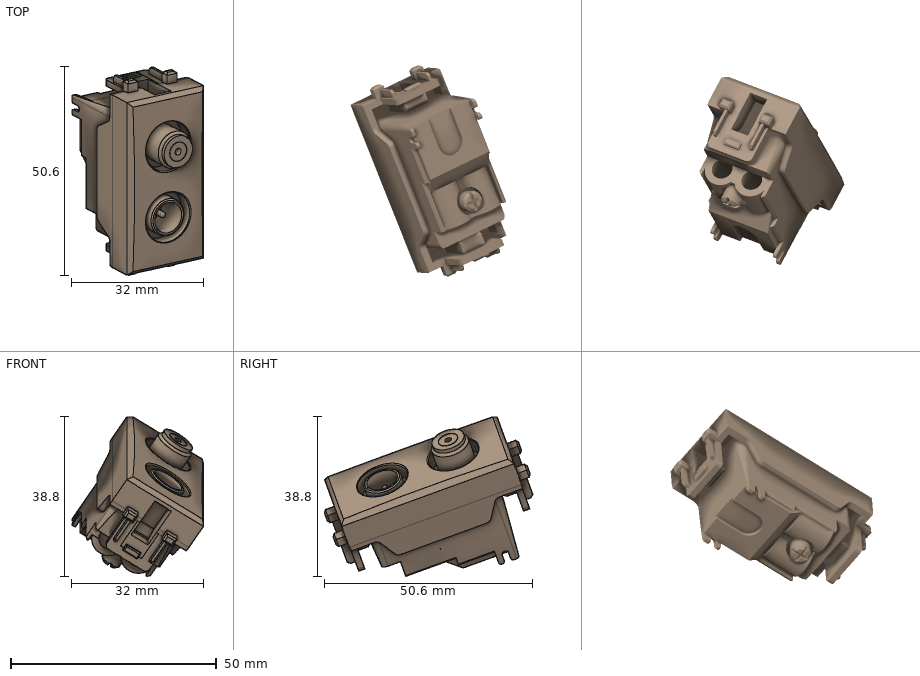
import cadquery as cq
import math


TURN_ABOUT_Y = 33.0
TILT_ABOUT_X = 20.0

COVER_HALF_WIDTH = 11.1
COVER_HALF_LENGTH = 22.3
BEVEL = 1.05
FACE_EDGE_Z = 1.15
FACE_CROWN_Z = 1.45
DRAFT_Z = -6.45
DRAFT_INSET = 0.2
RIM_Z = -7.65
SKIRT_Z = -13.6
SKIRT_TOP_HALF = 15.2
SKIRT_BOTTOM_HALF = 12.0
SKIRT_RADIUS = 1.6

HOUSING_HALF_WIDTH = 9.3
HOUSING_HALF_LENGTH = 17.0
HOUSING_TOP_Z = -2.5
HOUSING_CORNER_RADIUS = 2.0
HOUSING_DRAFT_Z = -9.0
LOW_END_HALF_LENGTH = 15.7
END_WALL_Z = -16.6
CLAMP_END_Y = -11.8
CLAMP_BACK_Y = -1.6
SIDE_WALL_Z = -21.5
SIDE_WALL_BACK_Y = 1.2
REAR_WALL_Z = -23.6
REAR_WALL_BACK_Y = 10.5
TAB_Z = -27.3
TAB_TIP_RADIUS = 0.7
WALL_EDGE_CHAMFER = 0.6
TAB_SLOT_WIDTH = 1.6
TAB_SLOT_Y = 12.8
TAB_SLOT_TOP_Z = -24.0
SIDE_WALL = 0.9
CORE_BOTTOM_Z = -25.1
BELLY_FRONT_Y = 2.0
BELLY_SLOT_RADIUS = 3.3
BELLY_SLOT_END_Y = 5.0
BELLY_SLOT_DEPTH = 1.2

CONNECTOR_Y = 9.2
OPENING_RADIUS = 6.35
OPENING_CHAMFER = 0.3
BARREL_RADIUS = 4.75
F_END_Z = 5.9
F_TIP_RADIUS = 4.1
F_TIP_LENGTH = 1.0
F_TIP_CONE = 0.65
F_INSULATOR_RADIUS = 2.45
F_RECESS = 0.1
F_HOLE_RADIUS = 0.85
F_HOLE_DEPTH = 6.0
TV_END_Z = 1.4
TV_BORE_RADIUS = 3.9
TV_BORE_DEPTH = 9.0
TV_LIP_CHAMFER = 0.35
TV_PIN_RADIUS = 0.75
TV_PIN_TIP_Z = -0.4
TV_PIN_TIP_ROUNDING = 0.9

PANEL_HALF_WIDTH = 6.2
PANEL_THICKNESS = 1.6
PANEL_Z = -17.6
PANEL_CORNER = 1.2
SLOT_HALF_WIDTH = 2.4
SLOT_TOP_Z = -1.0
SLOT_FLOOR_Z = -11.4
BOX_HALF_WIDTH = 3.05
BOX_Z = -13.4
BOX_CHAMFER = 0.9
TONGUE_RELIEF = 0.05
TONGUE_Z = -15.2
RAMP_LENGTH = 1.4
RAMP_LOW_Z = -11.0
RAMP_HIGH_Z = -8.7
HEAD_INNER_X = 4.2
HEAD_OUTER_X = 7.1
HEAD_TOP_Z = -5.6
HEAD_BOTTOM_Z = -7.8
HEAD_REACH = 3.0
HEAD_CHAMFER = 0.5
FIN_INNER_X = 4.8
FIN_OUTER_X = 5.5
FIN_REACH = 1.9
FIN_Z = -14.6
FIN_POINT = 0.7
BUMP_HALF_WIDTH = 2.1
BUMP_TOP_Z = -14.0
BUMP_BOTTOM_Z = -15.7
BUMP_REACH = 0.9
BUMP_CHAMFER = 0.3

CABLE_X = 4.2
CABLE_Z = -18.3
HUMP_RADIUS = 4.35
CABLE_RADIUS = 2.6
CLAMP_TOP_Z = -19.7
CLAMP_PLATE_Z = -20.7
SCREW_Y = -7.5
HEAD_RECESS_RADIUS = 3.4
SCREW_HEAD_RADIUS = 2.5
SCREW_HEAD_Z = -25.0
SCREW_HEAD_CHAMFER = 0.7
SCREW_SHANK_RADIUS = 1.5
SCREW_TIP_Z = -15.0
DRIVE_SLOT_WIDTH = 0.8
DRIVE_SLOT_DEPTH = 0.9


def box(x_range, y_range, z_range):
    """Axis-aligned block between the given limits."""
    size = [high - low for low, high in (x_range, y_range, z_range)]
    low_corner = (x_range[0], y_range[0], z_range[0])
    return cq.Workplane("XY").box(*size, centered=False).translate(low_corner)


def cylinder(radius, x, y, z_low, z_high):
    """Upright cylinder."""
    return cq.Workplane("XY", origin=(x, y, z_low)).circle(radius).extrude(z_high - z_low)


def side_prism(points, half_width):
    """Prism with a (Y, Z) outline, centred across the width."""
    return cq.Workplane("YZ").polyline(points).close().extrude(half_width, both=True)


def cover_shell():
    """Outer form: the side profile with skirts crossed with the bevelled cross profile."""
    length, width = COVER_HALF_LENGTH, COVER_HALF_WIDTH
    side = (
        cq.Workplane("YZ")
        .moveTo(-length, 0)
        .lineTo(-length + BEVEL, FACE_EDGE_Z)
        .threePointArc((0, FACE_CROWN_Z), (length - BEVEL, FACE_EDGE_Z))
        .lineTo(length, 0)
        .lineTo(length, DRAFT_Z)
        .lineTo(length - DRAFT_INSET, RIM_Z)
        .lineTo(SKIRT_TOP_HALF, RIM_Z)
        .lineTo(SKIRT_BOTTOM_HALF, SKIRT_Z)
        .lineTo(-SKIRT_BOTTOM_HALF, SKIRT_Z)
        .lineTo(-SKIRT_TOP_HALF, RIM_Z)
        .lineTo(-length + DRAFT_INSET, RIM_Z)
        .lineTo(-length, DRAFT_Z)
        .close()
        .extrude(width, both=True)
    )
    bend_depth = (RIM_Z - SKIRT_Z) / 2
    bends = cq.selectors.BoxSelector(
        (-2 * width, -length + 3 * DRAFT_INSET, SKIRT_Z - bend_depth),
        (2 * width, length - 3 * DRAFT_INSET, RIM_Z + DRAFT_INSET),
    )
    side = side.edges("|X").edges(bends).fillet(SKIRT_RADIUS)
    crown = FACE_CROWN_Z + BEVEL
    crown_inset = BEVEL * crown / FACE_EDGE_Z
    half = [
        (width - crown_inset, crown),
        (width, 0),
        (width, DRAFT_Z),
        (width - DRAFT_INSET, SKIRT_Z),
    ]
    mirrored = [(-x, z) for x, z in reversed(half)]
    cross = cq.Workplane("XZ").polyline(half + mirrored).close().extrude(length, both=True)
    return side.intersect(cross)


def end_clip():
    """Clip panel of the -Y end with its tongue box, snap heads, fins and bump."""
    outer_y = -COVER_HALF_LENGTH + DRAFT_INSET
    inner_y = outer_y + PANEL_THICKNESS
    clip = box((-PANEL_HALF_WIDTH, PANEL_HALF_WIDTH), (outer_y, inner_y), (PANEL_Z, RIM_Z))
    clip = clip.edges("|Y and <Z").fillet(PANEL_CORNER)

    tongue_box = box(
        (-BOX_HALF_WIDTH, BOX_HALF_WIDTH),
        (inner_y, -HOUSING_HALF_LENGTH),
        (BOX_Z, HOUSING_TOP_Z),
    )
    clip = clip.union(tongue_box.edges("|X and <Z and >Y").chamfer(BOX_CHAMFER))
    clip = clip.union(
        box(
            (-BOX_HALF_WIDTH, BOX_HALF_WIDTH),
            (outer_y - TONGUE_RELIEF, outer_y),
            (TONGUE_Z, RIM_Z),
        )
    )

    bump = box(
        (-BUMP_HALF_WIDTH, BUMP_HALF_WIDTH),
        (outer_y - BUMP_REACH, outer_y),
        (BUMP_BOTTOM_Z, BUMP_TOP_Z),
    )
    clip = clip.union(bump.faces("<Y").edges().chamfer(BUMP_CHAMFER))

    for side in (-1, 1):
        head_x = sorted((side * HEAD_INNER_X, side * HEAD_OUTER_X))
        head = box(head_x, (outer_y - HEAD_REACH, inner_y), (HEAD_BOTTOM_Z, HEAD_TOP_Z))
        clip = clip.union(head.faces("<Y").edges().chamfer(HEAD_CHAMFER))
        fin_x = sorted((side * FIN_INNER_X, side * FIN_OUTER_X))
        fin = box(fin_x, (outer_y - FIN_REACH, inner_y), (FIN_Z, HEAD_BOTTOM_Z))
        clip = clip.union(fin.edges("|X and <Z and <Y").chamfer(FIN_POINT))
    return clip


def end_slot():
    """Latch slot of the -Y end, less the ramp that rises at the back of its floor."""
    back_y = -HOUSING_HALF_LENGTH
    slot = box(
        (-SLOT_HALF_WIDTH, SLOT_HALF_WIDTH),
        (-COVER_HALF_LENGTH - BUMP_REACH, back_y),
        (SLOT_FLOOR_Z, SLOT_TOP_Z),
    )
    ramp = side_prism(
        [
            (back_y, SLOT_FLOOR_Z),
            (back_y, RAMP_HIGH_Z),
            (back_y - RAMP_LENGTH, RAMP_LOW_Z),
            (back_y - RAMP_LENGTH, SLOT_FLOOR_Z),
        ],
        SLOT_HALF_WIDTH,
    )
    return slot.cut(ramp)


def make_cover():
    """Cover with its cavity, two end clips, two latch slots and two connector openings."""
    cover = cover_shell()
    cavity_half_length = COVER_HALF_LENGTH - DRAFT_INSET - PANEL_THICKNESS
    cavity = box(
        (-HOUSING_HALF_WIDTH, HOUSING_HALF_WIDTH),
        (-cavity_half_length, cavity_half_length),
        (SKIRT_Z, HOUSING_TOP_Z),
    )
    cover = cover.cut(cavity)
    clip = end_clip()
    slot = end_slot()
    for turn in (0, 180):
        cover = cover.union(clip.rotate((0, 0, 0), (0, 0, 1), turn))
        cover = cover.cut(slot.rotate((0, 0, 0), (0, 0, 1), turn))
    for y in (-CONNECTOR_Y, CONNECTOR_Y):
        cover = cover.cut(cylinder(OPENING_RADIUS, 0, y, HOUSING_TOP_Z, F_END_Z))
        rim_height = (FACE_EDGE_Z + FACE_CROWN_Z) / 2 + OPENING_CHAMFER / 2
        rim = cq.Solid.makeCone(
            OPENING_RADIUS,
            OPENING_RADIUS + 2 * OPENING_CHAMFER,
            2 * OPENING_CHAMFER,
            pnt=cq.Vector(0, y, rim_height - OPENING_CHAMFER),
        )
        cover = cover.cut(cq.Workplane(rim))
    return cover


def housing_footprint():
    """Full-height block with the housing's rounded vertical corners."""
    block = box(
        (-HOUSING_HALF_WIDTH, HOUSING_HALF_WIDTH),
        (-HOUSING_HALF_LENGTH, HOUSING_HALF_LENGTH),
        (TAB_Z, HOUSING_TOP_Z),
    )
    return block.edges("|Z").fillet(HOUSING_CORNER_RADIUS)


def housing_walls():
    """Housing as outlined by its side walls, still solid between them."""
    end = HOUSING_HALF_LENGTH
    draft_slope = (end - LOW_END_HALF_LENGTH) / (HOUSING_DRAFT_Z - TAB_Z)
    low_front_y = -end + draft_slope * (HOUSING_DRAFT_Z - END_WALL_Z)
    profile = side_prism(
        [
            (-end, HOUSING_TOP_Z),
            (end, HOUSING_TOP_Z),
            (end, HOUSING_DRAFT_Z),
            (LOW_END_HALF_LENGTH, TAB_Z),
            (REAR_WALL_BACK_Y, TAB_Z),
            (REAR_WALL_BACK_Y, REAR_WALL_Z),
            (SIDE_WALL_BACK_Y, REAR_WALL_Z),
            (SIDE_WALL_BACK_Y, SIDE_WALL_Z),
            (CLAMP_END_Y, SIDE_WALL_Z),
            (CLAMP_END_Y, END_WALL_Z),
            (low_front_y, END_WALL_Z),
            (-end, HOUSING_DRAFT_Z),
        ],
        HOUSING_HALF_WIDTH,
    )
    return profile.intersect(housing_footprint())


def housing_belly():
    """Solid belly between the side walls behind the clamp, with its cable slot."""
    back = HOUSING_HALF_LENGTH
    drop = (HOUSING_DRAFT_Z - CLAMP_TOP_Z) / (HOUSING_DRAFT_Z - TAB_Z)
    rear_seat_y = back + (LOW_END_HALF_LENGTH - back) * drop
    belly = side_prism(
        [
            (CLAMP_BACK_Y, CLAMP_TOP_Z),
            (rear_seat_y, CLAMP_TOP_Z),
            (LOW_END_HALF_LENGTH, CORE_BOTTOM_Z),
            (BELLY_FRONT_Y, CORE_BOTTOM_Z),
            (CLAMP_BACK_Y, SIDE_WALL_Z),
        ],
        HOUSING_HALF_WIDTH - SIDE_WALL,
    )
    belly = belly.intersect(housing_footprint())
    slot_z = (CORE_BOTTOM_Z, CORE_BOTTOM_Z + BELLY_SLOT_DEPTH)
    centre_y = BELLY_SLOT_END_Y + BELLY_SLOT_RADIUS
    slot = box((-BELLY_SLOT_RADIUS, BELLY_SLOT_RADIUS), (centre_y, back), slot_z)
    slot = slot.union(cylinder(BELLY_SLOT_RADIUS, 0, centre_y, *slot_z))
    return belly.cut(slot)


def tab_slots():
    """Round-topped slot across both rear tabs."""
    half = TAB_SLOT_WIDTH / 2
    arch_z = TAB_SLOT_TOP_Z - half
    return (
        cq.Workplane("YZ")
        .moveTo(TAB_SLOT_Y - half, TAB_Z)
        .lineTo(TAB_SLOT_Y - half, arch_z)
        .threePointArc((TAB_SLOT_Y, TAB_SLOT_TOP_Z), (TAB_SLOT_Y + half, arch_z))
        .lineTo(TAB_SLOT_Y + half, TAB_Z)
        .close()
        .extrude(HOUSING_HALF_WIDTH, both=True)
    )


def wall_edge_cut(side):
    """Chamfer along the stepped lower edge of one side wall, side being -1 or 1 for -X or +X."""
    outer_x = side * HOUSING_HALF_WIDTH
    inner_x = outer_x - side * WALL_EDGE_CHAMFER
    spans = [
        (CLAMP_END_Y, SIDE_WALL_BACK_Y, SIDE_WALL_Z),
        (SIDE_WALL_BACK_Y, REAR_WALL_BACK_Y, REAR_WALL_Z),
    ]
    cut = cq.Workplane("XZ")
    for front_y, back_y, z in spans:
        wedge = cq.Workplane("XZ", origin=(0, back_y, 0)).polyline(
            [(outer_x, z), (inner_x, z), (outer_x, z + WALL_EDGE_CHAMFER)]
        )
        cut = cut.add(wedge.close().extrude(back_y - front_y))
    return cut.combine()


def cable_cylinder(x, radius):
    """Cylinder along one cable, over the length of the clamp."""
    mouth = cq.Workplane("XZ", origin=(x, CLAMP_END_Y, CABLE_Z))
    return mouth.circle(radius).extrude(CLAMP_END_Y - CLAMP_BACK_Y)


def f_connector():
    """Barrel with a stepped tip, a faintly sunk insulator face and a contact hole."""
    tip_z = F_END_Z - F_TIP_LENGTH
    half_profile = [
        (0, HOUSING_TOP_Z),
        (BARREL_RADIUS, HOUSING_TOP_Z),
        (BARREL_RADIUS, tip_z - F_TIP_CONE),
        (F_TIP_RADIUS, tip_z),
        (F_TIP_RADIUS, F_END_Z),
        (F_INSULATOR_RADIUS, F_END_Z),
        (F_INSULATOR_RADIUS, F_END_Z - F_RECESS),
        (F_HOLE_RADIUS, F_END_Z - F_RECESS),
        (F_HOLE_RADIUS, F_END_Z - F_HOLE_DEPTH),
        (0, F_END_Z - F_HOLE_DEPTH),
    ]
    barrel = cq.Workplane("XZ").polyline(half_profile).close()
    return barrel.revolve(360, (0, 0, 0), (0, 1, 0)).translate((0, CONNECTOR_Y, 0))


def add_tv_connector(housing):
    """Open sleeve with chamfered lip and a round-ended centre pin."""
    y = -CONNECTOR_Y
    floor_z = TV_END_Z - TV_BORE_DEPTH
    sleeve = cylinder(BARREL_RADIUS, 0, y, HOUSING_TOP_Z, TV_END_Z)
    sleeve = sleeve.faces(">Z").edges().chamfer(TV_LIP_CHAMFER)
    pin = cylinder(TV_PIN_RADIUS, 0, y, floor_z, TV_PIN_TIP_Z)
    pin = pin.faces(">Z").edges().fillet(TV_PIN_RADIUS * TV_PIN_TIP_ROUNDING)
    housing = housing.union(sleeve).cut(cylinder(TV_BORE_RADIUS, 0, y, floor_z, TV_END_Z))
    return housing.union(pin)


def make_housing():
    """Housing with side walls, belly, cable channels, screw hole and both connectors."""
    hollow = box(
        (SIDE_WALL - HOUSING_HALF_WIDTH, HOUSING_HALF_WIDTH - SIDE_WALL),
        (CLAMP_END_Y, HOUSING_HALF_LENGTH),
        (TAB_Z, CLAMP_TOP_Z),
    )
    walls = housing_walls().cut(tab_slots())
    walls = walls.edges("|X and <Z").fillet(TAB_TIP_RADIUS)
    for side in (-1, 1):
        walls = walls.cut(wall_edge_cut(side))
    housing = walls.cut(hollow).union(housing_belly())
    for x in (-CABLE_X, CABLE_X):
        housing = housing.cut(cable_cylinder(x, CABLE_RADIUS))
    housing = housing.cut(cylinder(SCREW_SHANK_RADIUS, 0, SCREW_Y, SCREW_TIP_Z, CLAMP_TOP_Z))
    return add_tv_connector(housing.union(f_connector()))


def make_clamp():
    """Plate with two humps over the cables and a round recess for the screw head."""
    half_width = HOUSING_HALF_WIDTH - SIDE_WALL
    y_range = (CLAMP_END_Y, CLAMP_BACK_Y)
    below_seat = box((-half_width, half_width), y_range, (CABLE_Z - HUMP_RADIUS, CLAMP_TOP_Z))
    clamp = box((-CABLE_X, CABLE_X), y_range, (CLAMP_PLATE_Z, CLAMP_TOP_Z))
    for x in (-CABLE_X, CABLE_X):
        clamp = clamp.union(cable_cylinder(x, HUMP_RADIUS).intersect(below_seat))
    for x in (-CABLE_X, CABLE_X):
        clamp = clamp.cut(cable_cylinder(x, CABLE_RADIUS))
    clamp = clamp.cut(cylinder(HEAD_RECESS_RADIUS, 0, SCREW_Y, SCREW_HEAD_Z, CLAMP_PLATE_Z))
    return clamp.cut(cylinder(SCREW_SHANK_RADIUS, 0, SCREW_Y, CLAMP_PLATE_Z, CLAMP_TOP_Z))


def make_screw():
    """Cross-slotted screw whose head bears on the clamp plate."""
    head = cylinder(SCREW_HEAD_RADIUS, 0, SCREW_Y, SCREW_HEAD_Z, CLAMP_PLATE_Z)
    head = head.faces("<Z").edges().chamfer(SCREW_HEAD_CHAMFER)
    slot_half = DRIVE_SLOT_WIDTH / 2
    reach = SCREW_HEAD_RADIUS
    slot_z = (SCREW_HEAD_Z, SCREW_HEAD_Z + DRIVE_SLOT_DEPTH)
    head = head.cut(box((-reach, reach), (SCREW_Y - slot_half, SCREW_Y + slot_half), slot_z))
    head = head.cut(box((-slot_half, slot_half), (SCREW_Y - reach, SCREW_Y + reach), slot_z))
    return head.union(cylinder(SCREW_SHANK_RADIUS, 0, SCREW_Y, CLAMP_PLATE_Z, SCREW_TIP_Z))


def place(body):
    """Turns a body from the module's own frame to its tilted attitude."""
    turned = body.rotate((0, 0, 0), (0, 1, 0), TURN_ABOUT_Y)
    return turned.rotate((0, 0, 0), (1, 0, 0), TILT_ABOUT_X)


cover = place(make_cover())
housing = place(make_housing())
clamp = place(make_clamp())
screw = place(make_screw())

result = cq.Compound.makeCompound([cover.val(), housing.val(), clamp.val(), screw.val()])